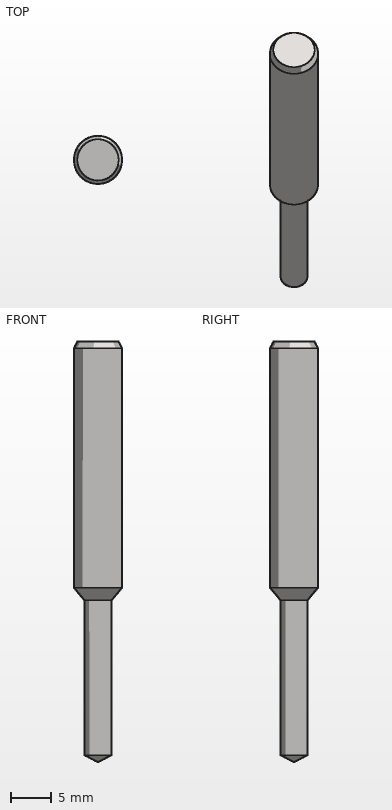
import cadquery as cq

total_length = 52.0
shank_diameter = 6.0
cutter_diameter = 3.4
cutter_length = 20.0
tip_height = 0.9
shoulder_height = 1.55
chamfer_width = 0.44
chamfer_height = 0.85

shank_radius = shank_diameter / 2
cutter_radius = cutter_diameter / 2
shoulder_top = cutter_length + shoulder_height


def revolve_profile(points):
    """Revolve a closed (radius, height) profile about the Z axis."""
    return cq.Workplane("XZ").polyline(points).close().revolve(360, (0, 0), (0, 1))


def make_cutter():
    """Slim cylinder with a conical point, ending flat against the shank."""
    return revolve_profile([
        (0, 0),
        (cutter_radius, tip_height),
        (cutter_radius, cutter_length),
        (0, cutter_length),
    ])


def make_shank():
    """Thick cylinder with a tapered shoulder below and a chamfered end above."""
    return revolve_profile([
        (0, cutter_length),
        (cutter_radius, cutter_length),
        (shank_radius, shoulder_top),
        (shank_radius, total_length - chamfer_height),
        (shank_radius - chamfer_width, total_length),
        (0, total_length),
    ])


cutter = make_cutter()
shank = make_shank()

result = cq.Compound.makeCompound([cutter.val(), shank.val()])